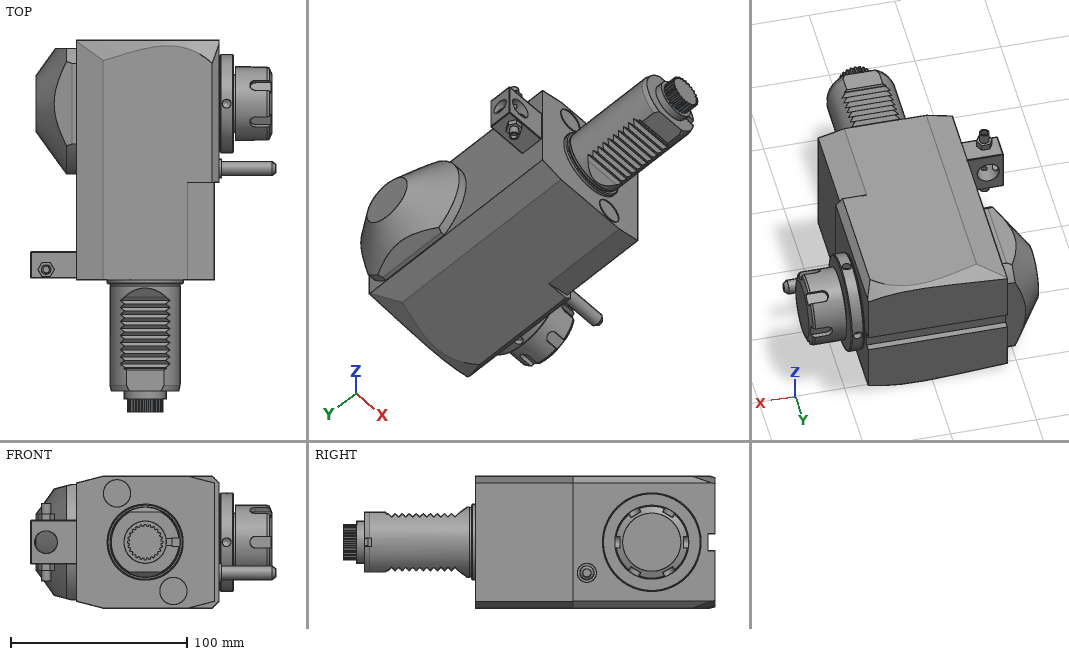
import cadquery as cq
import math

BEVEL_SLOPE = math.tan(math.radians(14.5))

BODY_BACK = 136.0
BODY_HALF_HEIGHT = 37.5
BODY_LEFT = -39.0
BODY_RIGHT = 42.0
BODY_CHAMFER = 4.0
SIDE_BEVEL_WIDTH = 15.2
SIDE_BEVEL_DROP = SIDE_BEVEL_WIDTH * BEVEL_SLOPE
RELIEF_LENGTH = 55.3
RELIEF_RIGHT = 39.2
BACK_SLOT_WIDTH = 9.5
BACK_SLOT_DEPTH = 4.0
PLUG_X = 16.0
PLUG_Z = 27.7
PLUG_RADIUS = 7.75
PLUG_RECESS = 0.5

BACK_CREST = [
    (-42.0, 119.5),
    (-23.9, 124.4),
    (-4.5, 130.2),
    (13.4, 132.8),
    (26.1, 130.5),
    (37.5, 123.3),
    (43.0, 117.5),
]
BACK_CUT_START = 100.0
BACK_CUT_LENGTH = 45.0
BACK_CUT_TOP = 60.0

SPINDLE_Y = 100.0
COVER_RADIUS = 40.0
COVER_TIP_RADIUS = 15.8
COVER_RIM_X = -44.6
COVER_TIP_X = -62.0
COVER_BACK = 131.4
COVER_HALF_HEIGHT = 32.8
COVER_STEP_X = -41.6

COLLAR_RADIUS = 28.0
COLLAR_END = 50.0
COLLAR_START = 42.5
COLLAR_CHAMFER = 0.6
COLLAR_HOLE_RADIUS = 2.5
COLLAR_HOLE_X = 46.2
COLLAR_HOLE_DEPTH = 4.0
DRILL_TIP_ANGLE = 118.0
COLLAR_HOLE_COUNT = 4
NECK_RADIUS = 16.5
NUT_RADIUS = 21.0
NUT_START = 51.1
NUT_BEVEL_X = 69.2
NUT_EDGE_X = 70.4
NUT_EDGE_RADIUS = 20.4
NUT_END = 72.0
NUT_END_RADIUS = 16.5
NUT_SLOT_COUNT = 6
NUT_SLOT_WIDTH = 6.6
NUT_SLOT_START = 59.4
NUT_SLOT_FLOOR = 18.0

PIN_Y = 63.2
PIN_Z = -17.4
PIN_RADIUS = 4.0
PIN_END = 74.14
PIN_TIP_LENGTH = 2.2
PIN_TIP_RADIUS = 2.3
PIN_FLANGE_RADIUS = 5.4
PIN_FLANGE_END = 43.3

SHANK_RADIUS = 20.0
SHANK_END = -63.0
SHANK_CHAMFER_LENGTH = 3.0
SHANK_CHAMFER = 0.8
FLANGE_RADIUS = 21.6
FLANGE_THICKNESS = 2.2
FLANGE_CHAMFER = 0.6
UNDERCUT_RADIUS = 19.7
UNDERCUT_END = -3.5
FLAT_HEIGHT = 17.0
TOOTH_COUNT = 10
TOOTH_PITCH = 4.0
TOOTH_ROOT = 14.3
FIRST_ROOT_Y = -11.6
RUNOUT_Y = -4.6
END_NOTCH_Y = -50.3
END_NOTCH_HEIGHT = 15.9
FLAT_START_Y = -51.0
KEYWAY_INNER = 11.7
KEYWAY_STEP = 15.1
KEYWAY_WIDTH = 4.8
KEYWAY_INNER_WIDTH = 4.0
KEYWAY_DEPTH = 4.0
KEYWAY_INNER_DEPTH = 2.0
DRIVE_NECK_RADIUS = 12.0
DRIVE_NECK_END = -67.4
SPLINE_RADIUS = 10.0
SPLINE_ROOT_RADIUS = 9.1
SPLINE_TEETH = 24
SPLINE_TIP_SHARE = 0.35
SPLINE_ROOT_SHARE = 0.65
SPLINE_END = -75.0

BLOCK_LEFT = -65.0
BLOCK_FRONT = 1.0
BLOCK_BACK = 16.0
BLOCK_HALF_HEIGHT = 12.5
BLOCK_CHAMFER = 0.4
PORT_X = -56.2
PORT_RADIUS = 6.4
SIDE_PORT_Y = 8.4
SIDE_PORT_RADIUS = 4.8
SIDE_PORT_DEPTH = 22.0
PINHOLE_RADIUS = 1.3
PINHOLE_DEPTH = 2.0
FITTING_Y = 5.9
HEX_SIDES = 6
HEX_FLATS = 8.0
HEX_TURN = 30.0
HEX_HEIGHT = 3.6
TUBE_RADIUS = 2.7
TUBE_TOP = 22.0
TUBE_BORE_RADIUS = 1.9
TUBE_BORE_DEPTH = 3.0
FEED_RADIUS = 1.6

OVERLAP = 1.0


def box(x_min, x_max, y_min, y_max, z_min, z_max):
    size = (x_max - x_min, y_max - y_min, z_max - z_min)
    return cq.Workplane("XY").box(*size, centered=False).translate((x_min, y_min, z_min))


def x_cylinder(radius, x_min, x_max, y, z=0.0):
    return cq.Workplane("YZ", origin=(x_min, y, z)).circle(radius).extrude(x_max - x_min)


def y_cylinder(radius, y_start, length, x=0.0, z=0.0):
    """Cylinder running from y_start towards +Y."""
    return cq.Workplane("XZ", origin=(x, y_start, z)).circle(radius).extrude(-length)


def turned_about_spindle(profile):
    """Solid turned about the spindle axis from (X, radius) points."""
    points = [(x, SPINDLE_Y + radius) for x, radius in profile]
    return cq.Workplane("XY").polyline(points).close().revolve(360, (0, SPINDLE_Y), (1, SPINDLE_Y))


def with_mirror(solid):
    """The solid together with its mirror image below Z = 0."""
    return solid.union(solid.mirror("XY"))


def prism_along_y(upper_points, y_start, y_end):
    """Prism along Y whose section is the upper half outline mirrored about Z = 0."""
    lower_points = [(x, -z) for x, z in reversed(upper_points)]
    section = cq.Workplane("XZ", origin=(0, y_start, 0)).polyline(upper_points + lower_points).close()
    return section.extrude(y_start - y_end)


def back_slope_cutter():
    """Region above the curved back surface, which falls towards +Y at the bevel slope."""
    curve = [(x, BODY_HALF_HEIGHT + (y - BACK_CUT_START) * BEVEL_SLOPE) for x, y in BACK_CREST]
    section = (
        cq.Workplane("XZ", origin=(0, BACK_CUT_START, 0))
        .spline(curve)
        .lineTo(curve[-1][0], BACK_CUT_TOP)
        .lineTo(curve[0][0], BACK_CUT_TOP)
        .close()
    )
    face = cq.Face.makeFromWires(section.val())
    direction = cq.Vector(0, BACK_CUT_LENGTH, -BACK_CUT_LENGTH * BEVEL_SLOPE)
    return cq.Workplane(cq.Solid.extrudeLinear(face, direction))


def make_housing():
    bevel_height = BODY_HALF_HEIGHT - SIDE_BEVEL_DROP
    left_side = [
        (BODY_LEFT, bevel_height),
        (BODY_LEFT + SIDE_BEVEL_WIDTH, BODY_HALF_HEIGHT),
    ]
    back_right = [
        (BODY_RIGHT - BODY_CHAMFER, BODY_HALF_HEIGHT),
        (BODY_RIGHT, BODY_HALF_HEIGHT - BODY_CHAMFER),
    ]
    front_right = [
        (RELIEF_RIGHT - SIDE_BEVEL_WIDTH, BODY_HALF_HEIGHT),
        (RELIEF_RIGHT, bevel_height),
    ]
    rear = prism_along_y(left_side + back_right, RELIEF_LENGTH, BODY_BACK)
    housing = rear.union(prism_along_y(left_side + front_right, 0, RELIEF_LENGTH))
    housing = housing.cut(with_mirror(back_slope_cutter()))
    half_slot = BACK_SLOT_WIDTH / 2
    slot_floor = BODY_BACK - BACK_SLOT_DEPTH
    housing = housing.cut(box(BODY_LEFT, BODY_RIGHT, slot_floor, BODY_BACK, -half_slot, half_slot))
    for side in (-1, 1):
        housing = housing.cut(y_cylinder(PLUG_RADIUS, 0, PLUG_RECESS, side * PLUG_X, -side * PLUG_Z))
    return housing


def make_cover():
    inner_x = BODY_LEFT + OVERLAP
    cone = turned_about_spindle([
        (inner_x, 0),
        (inner_x, COVER_RADIUS),
        (COVER_RIM_X, COVER_RADIUS),
        (COVER_TIP_X, COVER_TIP_RADIUS),
        (COVER_TIP_X, 0),
    ])
    tip_height = COVER_HALF_HEIGHT - (COVER_STEP_X - COVER_TIP_X) * BEVEL_SLOPE
    envelope = prism_along_y(
        [
            (COVER_TIP_X, tip_height),
            (COVER_STEP_X, COVER_HALF_HEIGHT),
            (inner_x, COVER_HALF_HEIGHT),
        ],
        SPINDLE_Y - COVER_RADIUS - OVERLAP,
        COVER_BACK,
    )
    return cone.intersect(envelope)


def make_spindle():
    spindle = turned_about_spindle([
        (BODY_RIGHT - OVERLAP, 0),
        (BODY_RIGHT - OVERLAP, COLLAR_RADIUS - COLLAR_CHAMFER),
        (COLLAR_START, COLLAR_RADIUS - COLLAR_CHAMFER),
        (COLLAR_START + COLLAR_CHAMFER, COLLAR_RADIUS),
        (COLLAR_END - COLLAR_CHAMFER, COLLAR_RADIUS),
        (COLLAR_END, COLLAR_RADIUS - COLLAR_CHAMFER),
        (COLLAR_END, NECK_RADIUS),
        (NUT_START, NECK_RADIUS),
        (NUT_START, NUT_RADIUS),
        (NUT_BEVEL_X, NUT_RADIUS),
        (NUT_EDGE_X, NUT_EDGE_RADIUS),
        (NUT_END, NUT_END_RADIUS),
        (NUT_END, 0),
    ])
    axis_start = (0, SPINDLE_Y, 0)
    axis_end = (1, SPINDLE_Y, 0)

    hole_floor_y = SPINDLE_Y - COLLAR_RADIUS + COLLAR_HOLE_DEPTH
    tip_length = COLLAR_HOLE_RADIUS / math.tan(math.radians(DRILL_TIP_ANGLE / 2))
    tip = cq.Solid.makeCone(
        COLLAR_HOLE_RADIUS, 0, tip_length, cq.Vector(COLLAR_HOLE_X, hole_floor_y, 0), cq.Vector(0, 1, 0)
    )
    hole = y_cylinder(COLLAR_HOLE_RADIUS, hole_floor_y, -2 * COLLAR_HOLE_DEPTH, COLLAR_HOLE_X)
    hole = hole.union(cq.Workplane(tip))
    for i in range(COLLAR_HOLE_COUNT):
        spindle = spindle.cut(hole.rotate(axis_start, axis_end, i * 360 / COLLAR_HOLE_COUNT))

    slot_floor_y = SPINDLE_Y - NUT_SLOT_FLOOR
    slot_outer_y = SPINDLE_Y - NUT_RADIUS - OVERLAP
    half_slot = NUT_SLOT_WIDTH / 2
    round_x = NUT_SLOT_START + half_slot
    slot = box(round_x, NUT_END + OVERLAP, slot_outer_y, slot_floor_y, -half_slot, half_slot)
    slot = slot.union(y_cylinder(half_slot, slot_outer_y, slot_floor_y - slot_outer_y, round_x))
    for i in range(NUT_SLOT_COUNT):
        spindle = spindle.cut(slot.rotate(axis_start, axis_end, i * 360 / NUT_SLOT_COUNT))
    return spindle


def make_pin():
    rod = x_cylinder(PIN_RADIUS, BODY_RIGHT - OVERLAP, PIN_END, PIN_Y, PIN_Z)
    rod = rod.faces(">X").chamfer(PIN_TIP_LENGTH, PIN_RADIUS - PIN_TIP_RADIUS)
    return rod.union(x_cylinder(PIN_FLANGE_RADIUS, BODY_RIGHT - OVERLAP, PIN_FLANGE_END, PIN_Y, PIN_Z))


def teeth_cutter():
    """Region above the clamping teeth and the end flat on the +Z side of the shank."""
    clear_height = SHANK_RADIUS + OVERLAP
    tip_height = TOOTH_ROOT + TOOTH_PITCH / 2
    first_tip_y = FIRST_ROOT_Y + TOOTH_PITCH / 2
    runout_slope = (SHANK_RADIUS - tip_height) / (RUNOUT_Y - first_tip_y)
    profile = [
        (RUNOUT_Y + OVERLAP / runout_slope, clear_height),
        (first_tip_y, tip_height),
    ]
    for i in range(TOOTH_COUNT):
        root_y = FIRST_ROOT_Y - i * TOOTH_PITCH
        profile.append((root_y, TOOTH_ROOT))
        profile.append((root_y - TOOTH_PITCH / 2, tip_height))
    profile += [
        (END_NOTCH_Y, END_NOTCH_HEIGHT),
        (FLAT_START_Y, FLAT_HEIGHT),
        (SHANK_END, FLAT_HEIGHT),
        (SHANK_END, clear_height),
    ]
    section = cq.Workplane("YZ").polyline(profile).close()
    return section.extrude(SHANK_RADIUS, both=True)


def make_spline():
    """Drive spline with straight-flanked teeth, narrower at the tip than at the root."""
    points = []
    pitch_angle = 2 * math.pi / SPLINE_TEETH
    half_tip = SPLINE_TIP_SHARE * pitch_angle / 2
    half_root = SPLINE_ROOT_SHARE * pitch_angle / 2
    for i in range(SPLINE_TEETH):
        for radius, offset in (
            (SPLINE_ROOT_RADIUS, -half_root),
            (SPLINE_RADIUS, -half_tip),
            (SPLINE_RADIUS, half_tip),
            (SPLINE_ROOT_RADIUS, half_root),
        ):
            angle = i * pitch_angle + offset
            points.append((radius * math.cos(angle), radius * math.sin(angle)))
    section = cq.Workplane("XZ", origin=(0, DRIVE_NECK_END + OVERLAP, 0)).polyline(points).close()
    return section.extrude(DRIVE_NECK_END + OVERLAP - SPLINE_END)


def make_shank():
    profile = [
        (0, OVERLAP),
        (FLANGE_RADIUS, OVERLAP),
        (FLANGE_RADIUS, FLANGE_CHAMFER - FLANGE_THICKNESS),
        (FLANGE_RADIUS - FLANGE_CHAMFER, -FLANGE_THICKNESS),
        (UNDERCUT_RADIUS, -FLANGE_THICKNESS),
        (UNDERCUT_RADIUS, UNDERCUT_END),
        (SHANK_RADIUS, UNDERCUT_END),
        (SHANK_RADIUS, SHANK_END + SHANK_CHAMFER_LENGTH),
        (SHANK_RADIUS - SHANK_CHAMFER, SHANK_END),
        (DRIVE_NECK_RADIUS, SHANK_END),
        (DRIVE_NECK_RADIUS, DRIVE_NECK_END),
        (0, DRIVE_NECK_END),
    ]
    shank = cq.Workplane("XY").polyline(profile).close().revolve(360, (0, 0), (0, 1))
    shank = shank.cut(with_mirror(teeth_cutter()))
    for x_min, x_max, width, depth in (
        (KEYWAY_STEP, SHANK_RADIUS, KEYWAY_WIDTH, KEYWAY_DEPTH),
        (KEYWAY_INNER, KEYWAY_STEP, KEYWAY_INNER_WIDTH, KEYWAY_INNER_DEPTH),
    ):
        shank = shank.cut(box(x_min, x_max, SHANK_END, SHANK_END + depth, -width / 2, width / 2))
    return shank.union(make_spline())


def make_fitting():
    """Hexagon nut and tube on top of the coolant block."""
    hex_base = BLOCK_HALF_HEIGHT - OVERLAP
    hexagon = (
        cq.Workplane("XY", origin=(PORT_X, FITTING_Y, hex_base))
        .transformed(rotate=(0, 0, HEX_TURN))
        .polygon(HEX_SIDES, HEX_FLATS, circumscribed=True)
        .extrude(HEX_HEIGHT + OVERLAP)
    )
    tube = (
        cq.Workplane("XY", origin=(PORT_X, FITTING_Y, hex_base))
        .circle(TUBE_RADIUS)
        .extrude(TUBE_TOP - hex_base)
    )
    bore = (
        cq.Workplane("XY", origin=(PORT_X, FITTING_Y, TUBE_TOP))
        .circle(TUBE_BORE_RADIUS)
        .extrude(-TUBE_BORE_DEPTH)
    )
    return hexagon.union(tube).cut(bore)


def make_coolant_block():
    block = box(
        BLOCK_LEFT, BODY_LEFT + OVERLAP, BLOCK_FRONT, BLOCK_BACK, -BLOCK_HALF_HEIGHT, BLOCK_HALF_HEIGHT
    )
    block = block.edges("|X or <X").chamfer(BLOCK_CHAMFER)
    block = block.union(with_mirror(make_fitting()))
    feed = cq.Workplane("XY").center(PORT_X, FITTING_Y).circle(FEED_RADIUS)
    block = block.cut(feed.extrude(BLOCK_HALF_HEIGHT, both=True))
    side_port_end = BLOCK_LEFT + SIDE_PORT_DEPTH
    block = block.cut(y_cylinder(PORT_RADIUS, BLOCK_FRONT, BLOCK_BACK - BLOCK_FRONT, PORT_X))
    block = block.cut(x_cylinder(SIDE_PORT_RADIUS, BLOCK_LEFT, side_port_end, SIDE_PORT_Y))
    return block.cut(x_cylinder(PINHOLE_RADIUS, side_port_end, side_port_end + PINHOLE_DEPTH, SIDE_PORT_Y))


result = (
    make_housing()
    .union(make_cover())
    .union(make_spindle())
    .union(make_pin())
    .union(make_shank())
    .union(make_coolant_block())
)